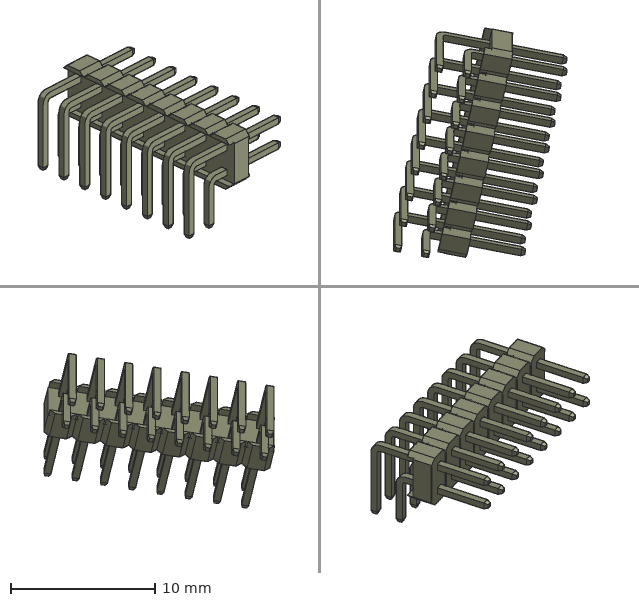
import cadquery as cq
import math


pitch = 2.0
columns = 8

length = columns * pitch
height = 2 * pitch
depth = pitch
chamfer = 0.4
recess_depth = 0.5
lip_thickness = 0.35
back_bevel_depth = 0.03
corner_chamfer = 0.1
corner_chamfer_height = 2.88

pin_width = pitch / 4
bend_inner_radius = pin_width / 2
tail_length = 4.0
leg_drop = 2.8
outer_leg_overhang = 3.3
inner_leg_overhang = outer_leg_overhang - pitch
tip_length = 0.29
tip_inset = 0.104

half_cell = pitch / 2
half_height = height / 2
half_flat = half_cell - chamfer
half_pin = pin_width / 2
tip_taper = math.degrees(math.atan(tip_inset / tip_length))
column_centres = [(column - (columns - 1) / 2) * pitch for column in range(columns)]


def make_cell(x):
    """One housing cell: an octagonal bar along Y with bevelled and chamfered back corners."""
    side_height = half_height - chamfer
    right_half = [
        (half_flat, -half_height),
        (half_cell, -side_height),
        (half_cell, side_height),
        (half_flat, half_height),
    ]
    left_half = [(-across, up) for across, up in reversed(right_half)]
    bar = cq.Workplane("XZ").polyline(right_half + left_half).close().extrude(depth)

    plan = [
        (-half_cell, -depth),
        (half_cell, -depth),
        (half_cell, -back_bevel_depth),
        (half_flat, 0),
        (-half_flat, 0),
        (-half_cell, -back_bevel_depth),
    ]
    bevelled_block = (
        cq.Workplane("XY").workplane(offset=-half_height).polyline(plan).close().extrude(height)
    )
    cell = bar.intersect(bevelled_block)
    for side in (-1, 1):
        corner_plan = [
            (side * (half_cell - corner_chamfer), 0),
            (side * half_cell, 0),
            (side * half_cell, -corner_chamfer),
        ]
        corner = (
            cq.Workplane("XY").polyline(corner_plan).close().extrude(corner_chamfer_height / 2, both=True)
        )
        cell = cell.cut(corner)
    return cell.translate((x, 0, 0))


def make_housing():
    """All cells side by side, with the pocket cut along the front."""
    housing = make_cell(column_centres[0])
    for x in column_centres[1:]:
        housing = housing.union(make_cell(x))
    pocket = (
        cq.Workplane("XY")
        .box(length, recess_depth, height - 2 * lip_thickness)
        .translate((0, recess_depth / 2 - depth, 0))
    )
    return housing.cut(pocket)


def make_tip(plane, origin):
    """Tapered square tip that starts at origin and points along the plane's normal."""
    return (
        cq.Workplane(plane, origin=origin)
        .rect(pin_width, pin_width)
        .extrude(tip_length, taper=tip_taper)
    )


def make_pin(x, z, overhang):
    """Bent square pin at height z whose leg stands out by overhang from the housing."""
    tail_end = tail_length - tip_length
    leg_end = -half_height - leg_drop + tip_length
    leg_front = -depth - overhang
    bend_outer_radius = bend_inner_radius + pin_width
    bend_y = leg_front + bend_outer_radius
    bend_z = z + half_pin - bend_outer_radius
    diagonal = math.sqrt(0.5)

    shank = (
        cq.Workplane("YZ", origin=(x, 0, 0))
        .moveTo(tail_end, z + half_pin)
        .lineTo(bend_y, z + half_pin)
        .threePointArc(
            (bend_y - bend_outer_radius * diagonal, bend_z + bend_outer_radius * diagonal),
            (leg_front, bend_z),
        )
        .lineTo(leg_front, leg_end)
        .lineTo(leg_front + pin_width, leg_end)
        .lineTo(leg_front + pin_width, bend_z)
        .threePointArc(
            (bend_y - bend_inner_radius * diagonal, bend_z + bend_inner_radius * diagonal),
            (bend_y, z - half_pin),
        )
        .lineTo(tail_end, z - half_pin)
        .close()
        .extrude(half_pin, both=True)
    )
    tail_tip = make_tip("ZX", (x, tail_end, z))
    leg_tip = make_tip("YX", (x, leg_front + half_pin, leg_end))
    return shank.union(tail_tip).union(leg_tip)


result = make_housing()
for column_x in column_centres:
    result = result.union(make_pin(column_x, pitch / 2, outer_leg_overhang))
    result = result.union(make_pin(column_x, -pitch / 2, inner_leg_overhang))